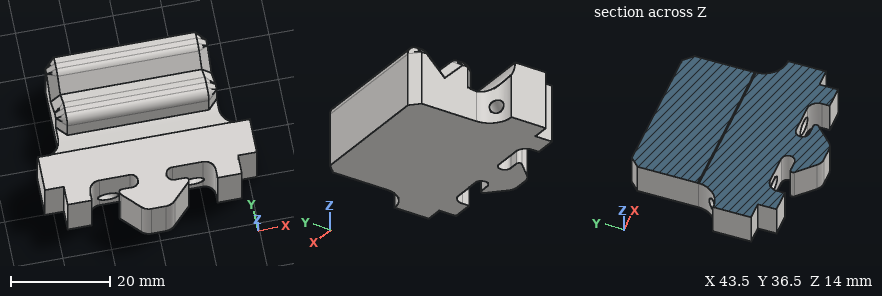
import cadquery as cq
import math


block_width = 33.0
block_depth = 15.0
block_height = 14.0
groove_depth = 3.5
groove_slope = 45
ridge_radius = 2.0
end_chamfer = ridge_radius

plate_width = 43.47
plate_height = 13.0
plate_front = -13.35
trough_radius = 6.0
neck_radius = 5.1

leg_outer_x = 17.85
leg_inner_x = 12.88
leg_length = 4.0
leg_corner_radius = 2.25
slot_gap = 2.77
neck_half_width = 2.94
hook_front = -21.45
hook_half_width = 7.12
hook_tip_radius = 0.6
hook_nose_radius = 2.75

hole_diameter = 3.0
hole_height = 3.7
hole_exit_x = 8.75
hole_overrun = 2.0

half_block = block_width / 2
half_plate = plate_width / 2
sin45 = math.sin(math.radians(45))


def ridge_corner_tool(y, z, start_angle, turn):
    """Waste outside one rounded ridge corner whose rounding is centred on (y, z).

    The rounding starts at start_angle and sweeps by turn, both in degrees from +Y toward +Z.
    """
    def at(angle, distance):
        radians = math.radians(angle)
        return (y + distance * math.cos(radians), z + distance * math.sin(radians))

    corner_distance = ridge_radius / math.cos(math.radians(turn / 2))
    wedge = (
        cq.Workplane("YZ", origin=(-half_block, 0, 0))
        .polyline([
            (y, z),
            at(start_angle, ridge_radius),
            at(start_angle + turn / 2, corner_distance),
            at(start_angle + turn, ridge_radius),
        ])
        .close()
        .extrude(block_width)
    )
    rod = (
        cq.Workplane("XY", origin=(0, y, z))
        .moveTo(-half_block, 0)
        .lineTo(-half_block + end_chamfer, ridge_radius)
        .lineTo(half_block - end_chamfer, ridge_radius)
        .lineTo(half_block, 0)
        .close()
        .revolve(360, (0, 0, 0), (1, 0, 0))
    )
    return wedge.cut(rod)


def make_v_block():
    """V-block with bevelled ends and rounded ridges."""
    middle = block_depth / 2
    block = (
        cq.Workplane("YZ", origin=(-half_block, 0, 0))
        .polyline([
            (0, 0),
            (0, block_height),
            (middle - groove_depth, block_height),
            (middle, block_height - groove_depth),
            (middle + groove_depth, block_height),
            (block_depth, block_height),
            (block_depth, 0),
        ])
        .close()
        .extrude(block_width)
    )
    block = block.faces("<X or >X").edges("not <Z").chamfer(end_chamfer)

    center_z = block_height - ridge_radius
    groove_side = groove_depth + ridge_radius * math.tan(math.radians(groove_slope / 2))
    block = block.cut(ridge_corner_tool(ridge_radius, center_z, 90, 90))
    block = block.cut(ridge_corner_tool(middle - groove_side, center_z, 90 - groove_slope, groove_slope))
    block = block.cut(ridge_corner_tool(middle + groove_side, center_z, 90, groove_slope))
    block = block.cut(ridge_corner_tool(block_depth - ridge_radius, center_z, 0, 90))
    return block


def make_plate():
    """Plate that flares out from the block, with the trough along its rear edge."""
    rear = end_chamfer
    flare_x = half_block + neck_radius
    bend = neck_radius * sin45
    plate = (
        cq.Workplane("XY")
        .moveTo(-half_block, rear)
        .lineTo(half_block, rear)
        .lineTo(half_block, 0)
        .threePointArc((flare_x - bend, -bend), (flare_x, -neck_radius))
        .lineTo(half_plate, -neck_radius)
        .lineTo(half_plate, plate_front)
        .lineTo(-half_plate, plate_front)
        .lineTo(-half_plate, -neck_radius)
        .lineTo(-flare_x, -neck_radius)
        .threePointArc((-flare_x + bend, -bend), (-half_block, 0))
        .close()
        .extrude(plate_height)
    )
    trough = (
        cq.Workplane("YZ", origin=(-half_plate, 0, 0))
        .center(0, plate_height)
        .circle(trough_radius)
        .extrude(plate_width)
    )
    return plate.cut(trough)


def make_clip_half():
    """Leg and half of the hook on the +X side, with the T-slot between them."""
    overlap_y = plate_front + leg_length / 2
    leg_front = plate_front - leg_length
    shelf_y = plate_front - slot_gap
    slot_radius = slot_gap / 2
    slot_center_x = neck_half_width + slot_radius

    tip_x = hook_half_width - hook_tip_radius
    tip_y = shelf_y - hook_tip_radius
    flank_x = tip_x + hook_tip_radius * sin45
    flank_y = tip_y - hook_tip_radius * sin45

    nose_y = hook_front + hook_nose_radius
    nose_start_y = nose_y - hook_nose_radius * sin45
    nose_start_x = flank_x - (flank_y - nose_start_y)
    nose_x = nose_start_x - hook_nose_radius * sin45
    nose_mid = math.radians((45 + 90) / 2)

    corner_x = leg_inner_x - leg_corner_radius
    corner_y = plate_front - leg_corner_radius
    corner_bend = leg_corner_radius * sin45

    return (
        cq.Workplane("XY")
        .moveTo(0, overlap_y)
        .lineTo(leg_outer_x, overlap_y)
        .lineTo(leg_outer_x, leg_front)
        .lineTo(leg_inner_x, leg_front)
        .lineTo(leg_inner_x, corner_y)
        .threePointArc((corner_x + corner_bend, corner_y + corner_bend), (corner_x, plate_front))
        .lineTo(slot_center_x, plate_front)
        .threePointArc((neck_half_width, plate_front - slot_radius), (slot_center_x, shelf_y))
        .lineTo(tip_x, shelf_y)
        .threePointArc((hook_half_width, tip_y), (flank_x, flank_y))
        .lineTo(nose_start_x, nose_start_y)
        .threePointArc(
            (nose_x + hook_nose_radius * math.cos(nose_mid), nose_y - hook_nose_radius * math.sin(nose_mid)),
            (nose_x, hook_front),
        )
        .lineTo(0, hook_front)
        .close()
        .extrude(plate_height)
    )


def make_pin_hole():
    """Drill on the +X side, at 45 degrees from the flared corner to the T-slot."""
    drill_start = cq.Vector(hole_exit_x - plate_front, 0, hole_height)
    drill_length = -plate_front / sin45 + hole_overrun
    return cq.Workplane(cq.Solid.makeCylinder(
        hole_diameter / 2, drill_length, drill_start, cq.Vector(-1, -1, 0)
    ))


clip_half = make_clip_half()
pin_hole = make_pin_hole()

result = make_v_block().union(make_plate())
result = result.union(clip_half).union(clip_half.mirror("YZ"))
result = result.cut(pin_hole).cut(pin_hole.mirror("YZ"))
result = result.clean()